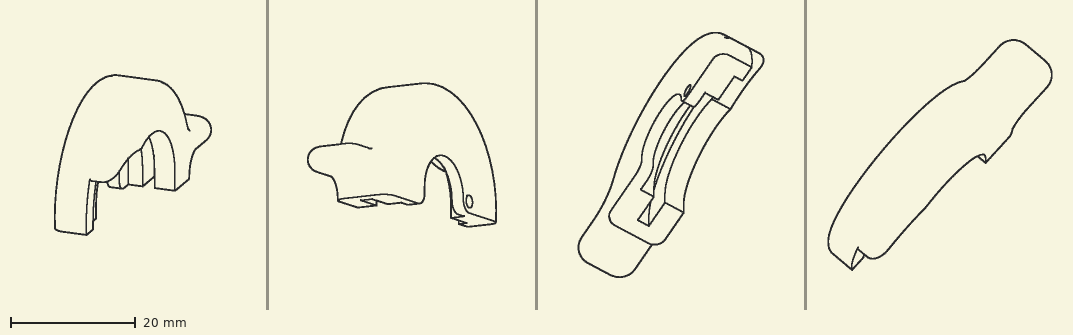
import cadquery as cq
import math

width = 10.2
outer_radius = 17.97
tab_tip = 28.0
tab_top = 4.0
tab_bottom = 0.0
tab_corner_radius = 3.0
upper_blend_radius = 5.0
lower_blend_radius = 2.5
edge_round = 1.98

leg_bottom = -3.05
foot_bottom = -1.9

bore_radius = 6.1
groove_radius = 9.98
deep_groove_radius = 15.0
lip_end = 2.1
deep_groove_start = 4.6
deep_groove_end = 6.65
bore_steps = [
    (bore_radius, 0, lip_end),
    (groove_radius, lip_end, deep_groove_start),
    (deep_groove_radius, deep_groove_start, deep_groove_end),
    (groove_radius, deep_groove_end, width),
]

leg_corner_radius = 1.98
foot_corner_radius = -foot_bottom
pin_y = -(bore_radius + foot_corner_radius)
pin_radius = 1.0

notch_start = 6.1
notch_radius = 17.25
notch_drop = 8.0


def box(x_range, y_range, z_range):
    """Block spanning the given ranges along X, Y and Z."""
    sizes = [end - start for start, end in (x_range, y_range, z_range)]
    corner = (x_range[0], y_range[0], z_range[0])
    return cq.Workplane("XY").box(*sizes, centered=False).translate(corner)


def blend_points(tab_face, radius, side):
    """Ends and middle of the arc joining a tab face (side +1 up, -1 down) to the disc."""
    center_z = tab_face + side * radius
    center_y = math.sqrt((outer_radius + radius) ** 2 - center_z**2)
    reach = outer_radius / (outer_radius + radius)
    on_tab = (center_y, tab_face)
    on_disc = (center_y * reach, center_z * reach)
    along_y = (on_tab[0] + on_disc[0]) / 2 - center_y
    along_z = (on_tab[1] + on_disc[1]) / 2 - center_z
    stretch = radius / math.hypot(along_y, along_z)
    middle = (center_y + along_y * stretch, center_z + along_z * stretch)
    return on_tab, middle, on_disc


def rounded_body():
    """Full disc with the blended tab, rounded along both side faces."""
    upper_tab, upper_middle, upper_disc = blend_points(tab_top, upper_blend_radius, 1)
    lower_tab, lower_middle, lower_disc = blend_points(tab_bottom, lower_blend_radius, -1)
    body = (
        cq.Workplane("YZ")
        .moveTo(tab_tip, tab_bottom)
        .lineTo(tab_tip, tab_top)
        .lineTo(*upper_tab)
        .threePointArc(upper_middle, upper_disc)
        .threePointArc((-outer_radius, 0), lower_disc)
        .threePointArc(lower_middle, lower_tab)
        .close()
        .extrude(width)
    )
    body = body.faces(">Y").edges("|Z").fillet(tab_corner_radius)
    return body.faces("<X or >X").edges().fillet(edge_round)


def bore_step(radius, start, end):
    """Half-round bore section whose walls run straight down below the axis."""
    arch = cq.Workplane("YZ").workplane(offset=start).circle(radius).extrude(end - start)
    return arch.union(box((start, end), (-radius, radius), (-outer_radius, 0)))


def lip_corner(side, bottom, radius):
    """Material removed to round the lower bore corner of the lip (side +1 or -1 in Y)."""
    center_y = side * (bore_radius + radius)
    center_z = bottom + radius
    y_range = sorted((side * bore_radius, center_y))
    corner = box((0, lip_end), y_range, (bottom, center_z))
    rounding = cq.Workplane("YZ").center(center_y, center_z).circle(radius).extrude(lip_end)
    return corner.cut(rounding)


result = rounded_body()

result = result.cut(box((0, width), (-outer_radius, tab_tip), (-outer_radius, leg_bottom)))
result = result.cut(box((0, width), (-outer_radius, 0), (-outer_radius, foot_bottom)))

notch_plane = cq.Workplane("YZ").workplane(offset=notch_start)
notch = notch_plane.center(pin_y, -notch_drop).circle(notch_radius).extrude(width - notch_start)
result = result.cut(notch)
for step_radius, step_start, step_end in bore_steps:
    result = result.cut(bore_step(step_radius, step_start, step_end))
result = result.cut(lip_corner(1, leg_bottom, leg_corner_radius))
result = result.cut(lip_corner(-1, foot_bottom, foot_corner_radius))
result = result.cut(cq.Workplane("YZ").center(pin_y, 0).circle(pin_radius).extrude(width))